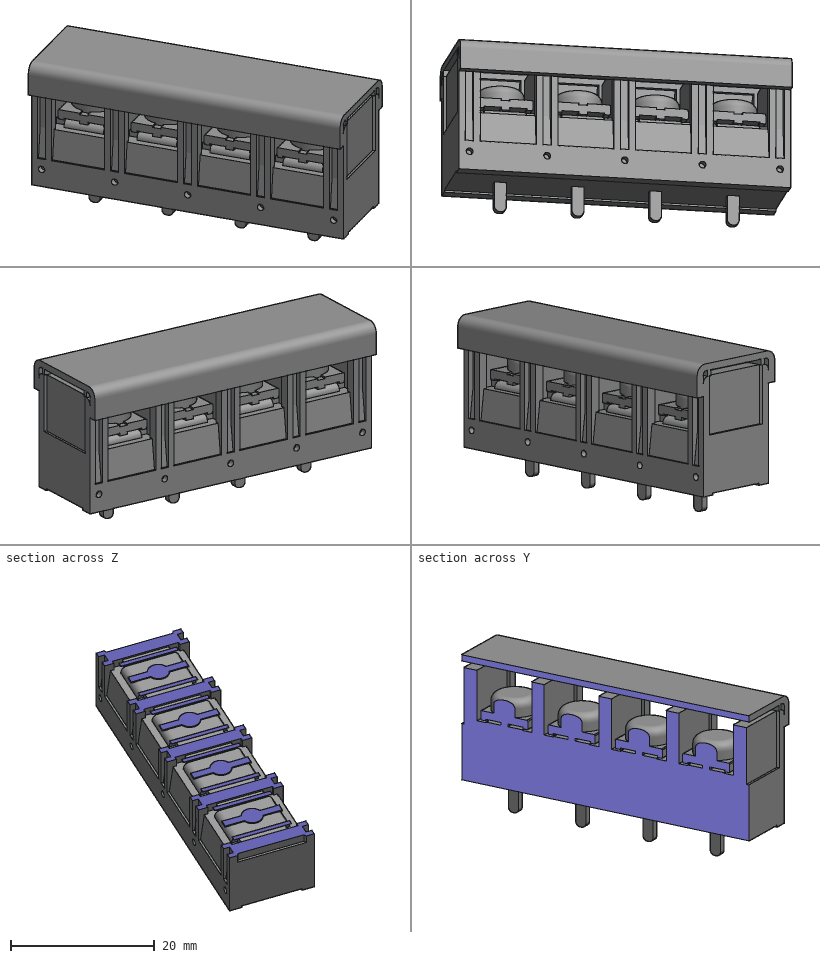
import cadquery as cq

LENGTH = 47
POLES = 4
PITCH = 11.0

BODY_WIDTH = 12.9
BODY_TOP = 17.05
BODY_CORNER_RADIUS = 0.9
FOOT_INNER_HALF = 4.55
FOOT_HEIGHT = 0.3
PEG_HOLE_DIAMETER = 0.95
PEG_HOLE_HEIGHT = 2.65
PEG_HOLE_DEPTH = 1.0

SILL_HEIGHT = 4.25
DECK_HEIGHT = 8.65
APRON_FOOT_HALF = 6.1
DECK_HALF = 5.55
BAY_WIDTH = 7.95
BAY_INNER_WIDTH = 8.9
BAY_INNER_HALF_DEPTH = 5.0
SLOT_WIDTH = 1.18

RECESS_HALF_WIDTH = 5.2
RECESS_TAPER = 0.25
RECESS_DEPTH = 0.38
RECESS_FLOOR = 8.65

COVER_WIDTH = 15.3
COVER_TOP = 18.9
COVER_BOTTOM = 14.3
COVER_THICKNESS = 1.0
COVER_OUTER_RADIUS = 1.5
COVER_INNER_RADIUS = COVER_OUTER_RADIUS - COVER_THICKNESS
RAIL_INNER_HALF = BAY_INNER_HALF_DEPTH
RAIL_THICKNESS = 0.6

PEDESTAL_HALF_DEPTH = 3.52
PEDESTAL_TOP = 9.6
TERMINAL_WIDTH = 5.95
TERMINAL_HALF_DEPTH = 4.4
TERMINAL_TOP = 9.7
TERMINAL_EDGE_RADIUS = TERMINAL_TOP - DECK_HEIGHT
PLATE_WIDTH = 7.75
PLATE_HALF_DEPTH = 4.35
PLATE_TOP = 11.25
PLATE_BOTTOM = 10.0
PLATE_CORNER_CHAMFER = 0.15
LIP_INNER_HALF = 3.0
LIP_BOTTOM = 9.78
RIB_WIDTH = 1.2
RIB_DIP = 0.25
RIB_BOTTOM = 9.65
SCREW_SHANK_DIAMETER = 3.1
SCREW_HEAD_DIAMETER = 6.8
SCREW_HEAD_TOP = 13.72
SCREW_HEAD_RADIUS = 1.2
PIN_WIDTH = 1.7
PIN_THICKNESS = 1.0
PIN_LENGTH = 4.0
PIN_TIP_RADIUS = 0.75

POLE_CENTERS = [(i - (POLES - 1) / 2) * PITCH for i in range(POLES)]
PARTITION_CENTERS = [(i - POLES / 2) * PITCH for i in range(POLES + 1)]


def box(width, depth, z_low, z_high, x=0, y=0):
    """Upright block centred on (x, y) between two heights."""
    return cq.Workplane("XY", origin=(x, y, z_low)).box(
        width, depth, z_high - z_low, centered=(True, True, False)
    )


def both_sides(solid):
    """Join a solid with its mirror image across the XZ plane."""
    return solid.union(solid.mirror("XZ"))


def side_cut(x, width):
    """Opening through one long side: sill, sloped apron, then an upright back above the deck."""
    outside = -BODY_WIDTH / 2 - 0.45
    return (
        cq.Workplane("YZ", origin=(x, 0, 0))
        .polyline([
            (outside, SILL_HEIGHT),
            (-APRON_FOOT_HALF, SILL_HEIGHT),
            (-DECK_HALF, DECK_HEIGHT),
            (-DECK_HALF, BODY_TOP),
            (outside, BODY_TOP),
        ])
        .close()
        .extrude(width / 2, both=True)
    )


def end_recess():
    """Recess in the -X end wall, open at the top, with side walls that taper inward."""
    outer = RECESS_HALF_WIDTH
    inner = RECESS_HALF_WIDTH - RECESS_TAPER
    face = -LENGTH / 2
    back = face + RECESS_DEPTH
    return (
        cq.Workplane("XY", origin=(0, 0, RECESS_FLOOR))
        .polyline([(face, -outer), (back, -inner), (back, inner), (face, outer)])
        .close()
        .extrude(BODY_TOP - RECESS_FLOOR)
    )


def housing():
    body = box(LENGTH, BODY_WIDTH, 0, BODY_TOP)
    body = body.edges("|X and >Z").fillet(BODY_CORNER_RADIUS)
    body = body.cut(box(LENGTH, 2 * FOOT_INNER_HALF, 0, FOOT_HEIGHT))
    for x in POLE_CENTERS:
        body = body.cut(box(BAY_WIDTH, 2 * DECK_HALF, DECK_HEIGHT, BODY_TOP, x))
        body = body.cut(box(BAY_INNER_WIDTH, 2 * BAY_INNER_HALF_DEPTH, DECK_HEIGHT, BODY_TOP, x))
        body = body.cut(both_sides(side_cut(x, BAY_WIDTH)))
    for x in PARTITION_CENTERS:
        body = body.cut(both_sides(side_cut(x, SLOT_WIDTH)))
        peg_hole = (
            cq.Workplane("XZ", origin=(x, -BODY_WIDTH / 2, PEG_HOLE_HEIGHT))
            .circle(PEG_HOLE_DIAMETER / 2)
            .extrude(-PEG_HOLE_DEPTH)
        )
        body = body.cut(both_sides(peg_hole))
    recess = end_recess()
    return body.cut(recess).cut(recess.mirror("YZ"))


def cover():
    """Channel over the top of the housing, with two rails that rest on the partitions."""
    shell = box(LENGTH, COVER_WIDTH, COVER_BOTTOM, COVER_TOP)
    shell = shell.edges("|X and >Z").fillet(COVER_OUTER_RADIUS)
    inside = box(LENGTH, BODY_WIDTH, COVER_BOTTOM, COVER_TOP - COVER_THICKNESS)
    inside = inside.edges("|X and >Z").fillet(COVER_INNER_RADIUS)
    rail_y = -RAIL_INNER_HALF - RAIL_THICKNESS / 2
    rail = box(LENGTH, RAIL_THICKNESS, BODY_TOP, COVER_TOP - COVER_THICKNESS, y=rail_y)
    return shell.cut(inside).union(both_sides(rail))


def terminal(x):
    """Bar across the deck whose long edges are full quarter rounds."""
    flat_half = TERMINAL_HALF_DEPTH - TERMINAL_EDGE_RADIUS
    bar = box(TERMINAL_WIDTH, 2 * flat_half, DECK_HEIGHT, TERMINAL_TOP, x)
    edge = (
        cq.Workplane("YZ", origin=(x, -flat_half, DECK_HEIGHT))
        .lineTo(-TERMINAL_EDGE_RADIUS, 0)
        .radiusArc((0, TERMINAL_EDGE_RADIUS), TERMINAL_EDGE_RADIUS)
        .close()
        .extrude(TERMINAL_WIDTH / 2, both=True)
    )
    return bar.union(both_sides(edge))


def clamp_plate(x):
    """Plate with a pressed centre rib and shallow lips along its two sides."""
    plate = box(PLATE_WIDTH, 2 * PLATE_HALF_DEPTH, LIP_BOTTOM, PLATE_TOP, x)
    plate = plate.edges("|Y").chamfer(PLATE_CORNER_CHAMFER)
    plate = plate.cut(box(2 * LIP_INNER_HALF, 2 * PLATE_HALF_DEPTH, LIP_BOTTOM, PLATE_BOTTOM, x))
    plate = plate.cut(box(RIB_WIDTH, 2 * PLATE_HALF_DEPTH, PLATE_TOP - RIB_DIP, PLATE_TOP, x))
    return plate.union(box(RIB_WIDTH, 2 * PLATE_HALF_DEPTH, RIB_BOTTOM, PLATE_BOTTOM, x))


def screw(x):
    head = (
        cq.Workplane("XY", origin=(x, 0, PLATE_TOP - RIB_DIP))
        .circle(SCREW_HEAD_DIAMETER / 2)
        .extrude(SCREW_HEAD_TOP - PLATE_TOP + RIB_DIP)
        .faces(">Z").edges().fillet(SCREW_HEAD_RADIUS)
    )
    shank = (
        cq.Workplane("XY", origin=(x, 0, DECK_HEIGHT))
        .circle(SCREW_SHANK_DIAMETER / 2)
        .extrude(PLATE_TOP - DECK_HEIGHT)
    )
    return head.union(shank)


def pole_hardware(x):
    pedestal = box(BAY_INNER_WIDTH, 2 * PEDESTAL_HALF_DEPTH, DECK_HEIGHT, PEDESTAL_TOP, x)
    pin = box(PIN_WIDTH, PIN_THICKNESS, -PIN_LENGTH, FOOT_HEIGHT, x)
    pin = pin.edges("|Y and <Z").fillet(PIN_TIP_RADIUS)
    return pedestal.union(terminal(x)).union(clamp_plate(x)).union(screw(x)).union(pin)


result = housing().union(cover())
for pole_x in POLE_CENTERS:
    result = result.union(pole_hardware(pole_x))